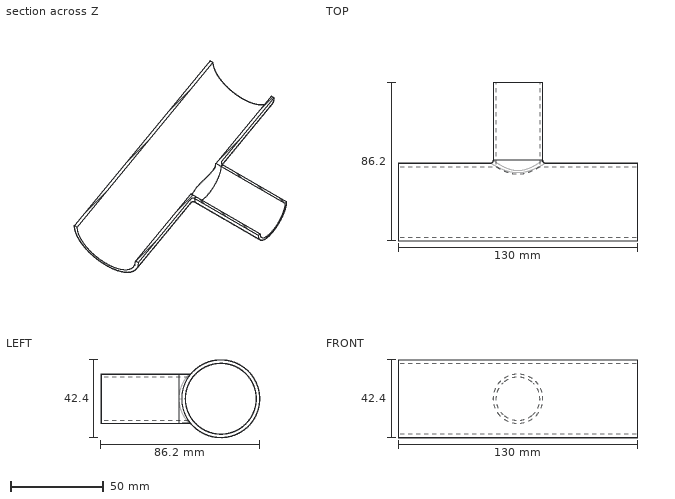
import cadquery as cq

header_length = 130.0
header_outer_diameter = 42.4
header_bore_diameter = 38.4
header_outer_radius = header_outer_diameter / 2

branch_outer_diameter = 26.9
branch_bore_diameter = 23.7
branch_end_y = 65.0

stub_height = 1.6
stub_end_y = header_outer_radius + stub_height
stub_fillet_radius = 1.5


def cylinder_along_y(diameter, start_y, end_y):
    """Solid cylinder around the Y axis between two Y positions."""
    start_plane = cq.Workplane("XZ", origin=(0, start_y, 0))
    return start_plane.circle(diameter / 2).extrude(start_y - end_y)


def cylinder_along_x(diameter):
    """Solid cylinder around the X axis, as long as the header and centred on it."""
    return cq.Workplane("YZ").circle(diameter / 2).extrude(header_length / 2, both=True)


def make_header():
    """Header pipe with a filleted stub, bored through into the header."""
    stub = cylinder_along_y(branch_outer_diameter, 0, stub_end_y)
    body = cylinder_along_x(header_outer_diameter).union(stub)

    joint_selector = cq.selectors.BoxSelector(
        (-branch_outer_diameter, 0, -branch_outer_diameter),
        (branch_outer_diameter, header_outer_radius, branch_outer_diameter),
    )
    body = body.edges(joint_selector).fillet(stub_fillet_radius)

    body = body.cut(cylinder_along_x(header_bore_diameter))
    return body.cut(cylinder_along_y(branch_bore_diameter, 0, stub_end_y))


def make_branch():
    """Plain pipe that butts against the end of the stub."""
    pipe = cylinder_along_y(branch_outer_diameter, stub_end_y, branch_end_y)
    return pipe.cut(cylinder_along_y(branch_bore_diameter, stub_end_y, branch_end_y))


header = make_header()
branch = make_branch()

result = cq.Compound.makeCompound([header.val(), branch.val()])